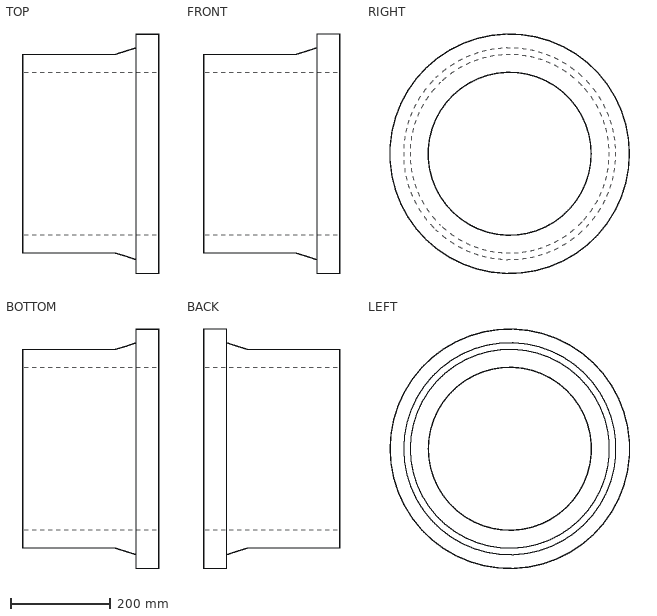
import cadquery as cq

total_length = 274.0
flange_thickness = 46.5
cone_length = 42.0
pipe_length = total_length - flange_thickness - cone_length

flange_radius = 482 / 2
cone_end_radius = 426.5 / 2
pipe_radius = 400 / 2
bore_radius = 327.5 / 2

cone_end_x = pipe_length + cone_length

half_section = (
    cq.Workplane("XY")
    .moveTo(0, bore_radius)
    .lineTo(0, pipe_radius)
    .lineTo(pipe_length, pipe_radius)
    .lineTo(cone_end_x, cone_end_radius)
    .lineTo(cone_end_x, flange_radius)
    .lineTo(total_length, flange_radius)
    .lineTo(total_length, bore_radius)
    .close()
)

result = half_section.revolve(360, (0, 0, 0), (1, 0, 0))